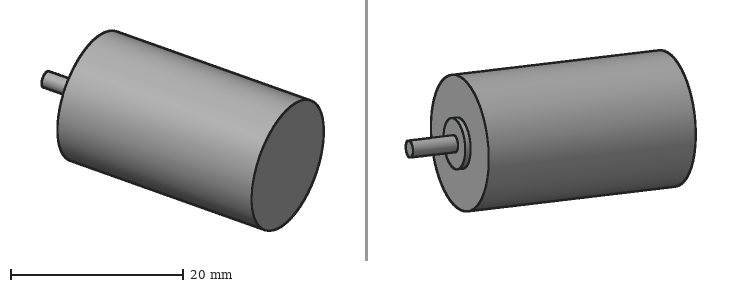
import cadquery as cq

overall_length = 33.0
body_diameter = 16.0
body_length = 26.53
boss_diameter = 6.0
boss_length = 0.7
shaft_diameter = 2.0
shaft_length = overall_length - body_length - boss_length


def cylinder_along_x(start_x, length, diameter):
    """Solid cylinder on the X axis, growing towards +X from start_x."""
    return cq.Workplane("YZ", origin=(start_x, 0, 0)).circle(diameter / 2).extrude(length)


boss_start = shaft_length
body_start = boss_start + boss_length

shaft = cylinder_along_x(0, shaft_length, shaft_diameter)
boss = cylinder_along_x(boss_start, boss_length, boss_diameter)
body = cylinder_along_x(body_start, body_length, body_diameter)

result = body.union(boss).union(shaft)